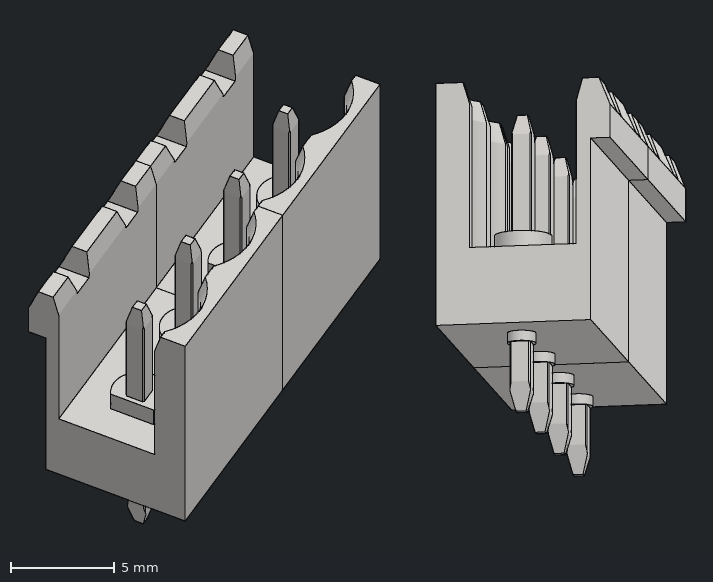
import cadquery as cq


pitch = 5.08
poles_per_module = 2
module_count = 2
module_length = pitch * poles_per_module
total_length = module_length * module_count

overall_width = 8.6
hook_depth = 0.95
collar_to_hook_face = 4.75
hook_face_x = -collar_to_hook_face
back_face_x = hook_face_x + overall_width
front_face_x = hook_face_x + hook_depth
channel_front_x = hook_face_x + 1.67
channel_back_x = hook_face_x + 6.92
hook_crest_front_x = hook_face_x + 0.54
hook_crest_back_x = hook_face_x + 1.36

housing_height = 12.0
floor_z = 3.8
hook_bottom_z = 9.0
hook_slope_z = 10.65
lead_in_height = 1.1
lead_in_z = housing_height - lead_in_height
back_lead_in = 0.33

notch_floor_z = 10.7
notch_floor_width = 1.2
notch_top_width = 1.95

scallop_radius = 2.8
scallop_depth = 0.82
scallop_center_x = channel_back_x + scallop_depth - scallop_radius

collar_diameter = 2.8
collar_height = 1.0
collar_flat_offset = 0.75
peg_diameter = 1.4
peg_height = 0.5
peg_x = 0.07
pin_width = 1.0
pin_corner_chamfer = 0.07
pin_tip_width = 0.5
pin_top_z = 10.75
pin_tip_length = 1.0
tail_bottom_z = -3.9
tail_tip_width_x = 0.5
tail_tip_length_x = 0.95
tail_tip_width_y = 0.4
tail_tip_length_y = 1.4


def housing_prism():
    """U-shaped cross-section of the housing, extruded along the module."""
    return (
        cq.Workplane("XZ")
        .polyline([
            (front_face_x, 0),
            (back_face_x, 0),
            (back_face_x, housing_height),
            (channel_back_x + back_lead_in, housing_height),
            (channel_back_x, lead_in_z),
            (channel_back_x, floor_z),
            (channel_front_x, floor_z),
            (channel_front_x, lead_in_z),
            (hook_crest_back_x, housing_height),
            (hook_crest_front_x, housing_height),
            (hook_face_x, hook_slope_z),
            (hook_face_x, hook_bottom_z),
            (front_face_x, hook_bottom_z),
        ])
        .close()
        .extrude(-module_length)
    )


def hook_notch(y):
    """Flared notch through the hook wall at one pole."""
    return (
        cq.Workplane("YZ", origin=(hook_face_x, y, 0))
        .polyline([
            (-notch_floor_width / 2, notch_floor_z),
            (notch_floor_width / 2, notch_floor_z),
            (notch_top_width / 2, housing_height),
            (-notch_top_width / 2, housing_height),
        ])
        .close()
        .extrude(channel_front_x - hook_face_x)
    )


def scallop(y):
    """Round recess in the back wall at one pole, with a conical lead-in; spares the hook wall."""
    top_radius = scallop_radius + back_lead_in
    cutter = (
        cq.Workplane("XZ", origin=(scallop_center_x, y, 0))
        .polyline([
            (0, floor_z),
            (scallop_radius, floor_z),
            (scallop_radius, lead_in_z),
            (top_radius, housing_height),
            (0, housing_height),
        ])
        .close()
        .revolve(360, (0, 0, 0), (0, 1, 0))
    )
    back_half = cq.Workplane("XY", origin=(scallop_center_x, y, floor_z)).box(
        top_radius, 2 * top_radius, housing_height - floor_z, centered=(False, True, False)
    )
    return cutter.intersect(back_half)


def taper_profile(plane, start_z, shoulder_z, tip_z, tip_width):
    """Pin outline in one vertical plane, extruded across the full pin width."""
    return (
        cq.Workplane(plane)
        .polyline([
            (-pin_width / 2, start_z),
            (pin_width / 2, start_z),
            (pin_width / 2, shoulder_z),
            (tip_width / 2, tip_z),
            (-tip_width / 2, tip_z),
            (-pin_width / 2, shoulder_z),
        ])
        .close()
        .extrude(pin_width / 2, both=True)
    )


def chamfered_bar(start_z, end_z):
    """Square bar with its four long corners chamfered."""
    return (
        cq.Workplane("XY", origin=(0, 0, start_z))
        .rect(pin_width, pin_width)
        .extrude(end_z - start_z)
        .edges("|Z")
        .chamfer(pin_corner_chamfer)
    )


def upper_pin():
    """Pin standing on the channel floor, tapered alike on all four sides."""
    shoulder_z = pin_top_z - pin_tip_length
    pin = chamfered_bar(floor_z, pin_top_z)
    for plane in ("XZ", "YZ"):
        pin = pin.intersect(taper_profile(plane, floor_z, shoulder_z, pin_top_z, pin_tip_width))
    return pin


def tail():
    """Solder tail below the housing; its Y-facing tapers are longer than its X-facing ones."""
    tail_tips = (
        ("XZ", tail_tip_length_x, tail_tip_width_x),
        ("YZ", tail_tip_length_y, tail_tip_width_y),
    )
    pin = chamfered_bar(tail_bottom_z, 0)
    for plane, tip_length, tip_width in tail_tips:
        shoulder_z = tail_bottom_z + tip_length
        pin = pin.intersect(taper_profile(plane, 0, shoulder_z, tail_bottom_z, tip_width))
    return pin


def collar(y, flattened):
    """Round collar on the channel floor; a flattened one is cut straight on its -Y side."""
    base = cq.Workplane("XY", origin=(0, y, floor_z)).circle(collar_diameter / 2).extrude(collar_height)
    if flattened:
        kept = cq.Workplane("XY", origin=(0, y - collar_flat_offset, floor_z)).box(
            collar_diameter, collar_diameter, collar_height, centered=(True, False, False)
        )
        base = base.intersect(kept)
    return base


def contact(y, flattened):
    """Two sections of a contact: collar and pin above the floor, peg and tail below the housing."""
    peg = cq.Workplane("XY", origin=(peg_x, y, -peg_height)).circle(peg_diameter / 2).extrude(peg_height)
    above_floor = collar(y, flattened).union(upper_pin().translate((0, y, 0)))
    below_housing = peg.union(tail().translate((peg_x, y, 0)))
    return above_floor, below_housing


def header_module(start_y):
    """One two-pole module whose -Y end lies at start_y."""
    module = housing_prism()
    for pole in range(poles_per_module):
        pole_y = (pole + 0.5) * pitch
        module = module.cut(hook_notch(pole_y)).cut(scallop(pole_y))
        for contact_section in contact(pole_y, flattened=(pole == 0)):
            module = module.union(contact_section)
    return module.translate((0, start_y, 0))


header_modules = [
    header_module(index * module_length - total_length / 2)
    for index in range(module_count)
]

result = cq.Compound.makeCompound([module.val() for module in header_modules])